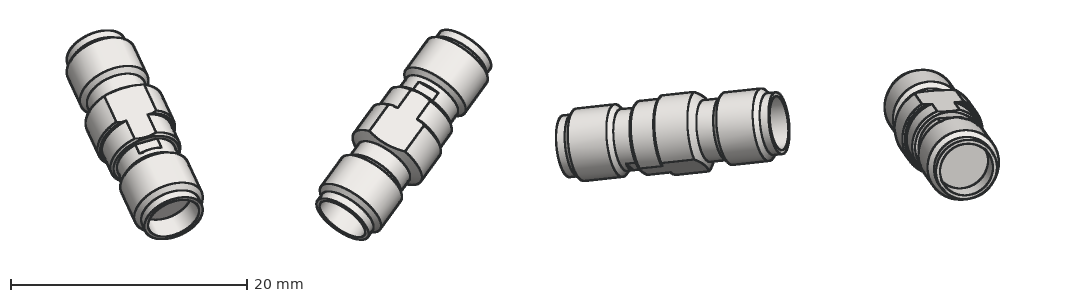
import cadquery as cq

length = 19.15
neck_radius = 2.65
bore_radius = 2.3
bore_depth = 1.92

sleeve_radius = 3.1
end_neck_length = 0.79
left_sleeve_end = 4.98
right_sleeve_start = 13.98
sleeve_bevel = sleeve_radius - neck_radius

body_start = 6.5
body_end = 10.13
body_radius = 3.5
body_bevel_length = 0.5
body_chamfer = 0.17

collar_end = 12.4
collar_radius = 3.16
collar_chamfer = 0.21

body_flat_height = 3.0
neck_flat_height = 2.45
neck_flat_end = 13.45


def revolve_about_x(profile_points):
    """Solid of revolution from (x, radius) points whose ends lie on the axis."""
    profile = cq.Workplane("XY").polyline(profile_points).close()
    return profile.revolve(360, (0, 0, 0), (1, 0, 0))


def cylinder(start, end, radius):
    return cq.Workplane("YZ", origin=(start, 0, 0)).circle(radius).extrude(end - start)


def sleeve(start, end):
    return revolve_about_x([
        (start, 0),
        (start, neck_radius),
        (start + sleeve_bevel, sleeve_radius),
        (end - sleeve_bevel, sleeve_radius),
        (end, neck_radius),
        (end, 0),
    ])


def body_and_collar():
    return revolve_about_x([
        (body_start, 0),
        (body_start, neck_radius),
        (body_start + body_bevel_length, body_radius),
        (body_end - body_chamfer, body_radius),
        (body_end, body_radius - body_chamfer),
        (body_end, collar_radius),
        (collar_end - collar_chamfer, collar_radius),
        (collar_end, collar_radius - collar_chamfer),
        (collar_end, 0),
    ])


def cut_flats(solid, start, end, height):
    """Trim the solid above and below the axis between two places along X."""
    width = 2 * body_radius
    depth = body_radius
    for side in (1, -1):
        cutter = cq.Workplane("XY").box(end - start, width, depth)
        solid = solid.cut(cutter.translate(((start + end) / 2, 0, side * (height + depth / 2))))
    return solid


neck = cut_flats(cylinder(0, length, neck_radius), collar_end, neck_flat_end, neck_flat_height)
body = cut_flats(body_and_collar(), body_start, collar_end, body_flat_height)

result = neck.union(body)
result = result.union(sleeve(end_neck_length, left_sleeve_end))
result = result.union(sleeve(right_sleeve_start, length - end_neck_length))

result = result.cut(cylinder(0, bore_depth, bore_radius))
result = result.cut(cylinder(length - bore_depth, length, bore_radius))